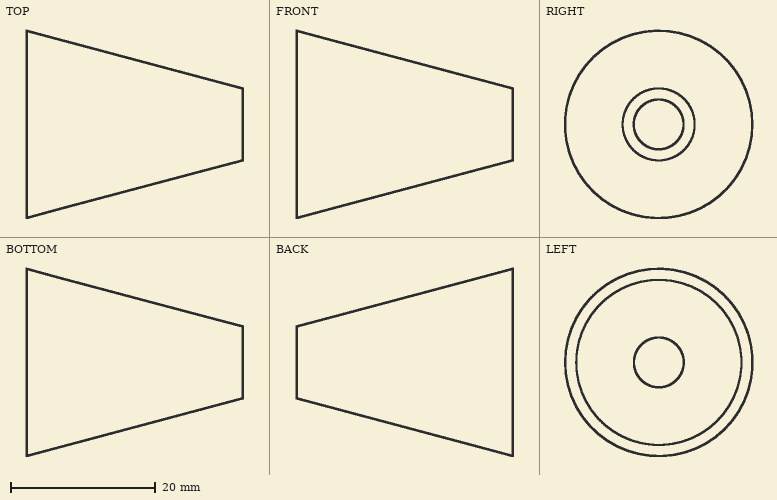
import cadquery as cq
import math

length = 30.0
wide_diameter = 26.0
narrow_diameter = 10.0
wall_thickness = 1.5

wide_radius = wide_diameter / 2
narrow_radius = narrow_diameter / 2
slope_angle = math.atan((wide_radius - narrow_radius) / length)
radial_wall = wall_thickness / math.cos(slope_angle)

wall_section = (
    cq.Workplane("XY")
    .moveTo(0, wide_radius - radial_wall)
    .lineTo(0, wide_radius)
    .lineTo(length, narrow_radius)
    .lineTo(length, narrow_radius - radial_wall)
    .close()
)
result = wall_section.revolve(360, (0, 0, 0), (1, 0, 0))